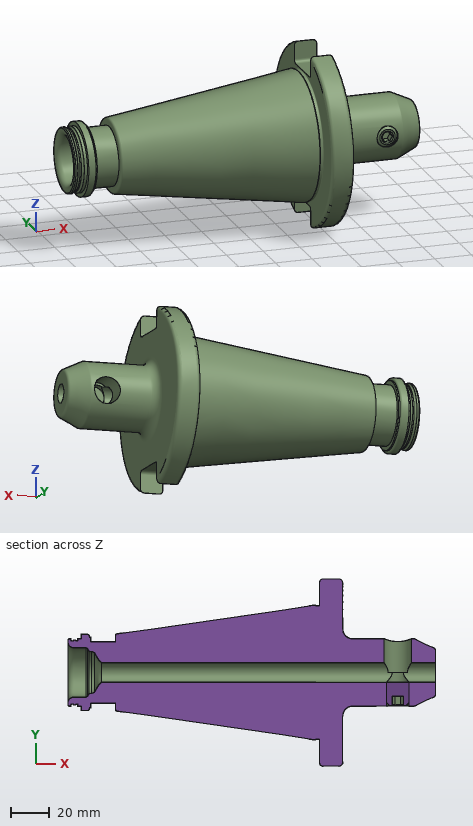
import cadquery as cq
import math

TOTAL_LENGTH = 189.8

SPIGOT_RADIUS = 17.5
SPIGOT_CHAMFER = 0.5
GROOVE_RADIUS = 16.3
GROOVE_LAND_RADIUS = 16.9
FIRST_GROOVE_START = 1.7
FIRST_GROOVE_END = 3.0
SECOND_GROOVE_START = 3.8
SECOND_GROOVE_END = 5.1
COLLAR_START = 6.8
COLLAR_END = 11.2
COLLAR_RADIUS = 19.7
COLLAR_FILLET = 1.1
NECK_RADIUS = 16.0
NECK_SHOULDER_RADIUS = 18.2
NECK_SHOULDER_END = 12.0

TAPER_START = 24.5
TAPER_END = 127.5
TAPER_LARGE_RADIUS = 35.0
TAPER_SLOPE = 7 / 48
TAPER_EDGE_FILLET = 1.3
RELIEF_RADIUS = 34.5
RELIEF_FILLET = 0.4

FLANGE_START = 129.8
FLANGE_END = 142.0
FLANGE_DIAMETER = 97.0
FLANGE_RADIUS = FLANGE_DIAMETER / 2
FLANGE_FRONT_FILLET = 1.9
FLANGE_BACK_FILLET = 2.3
SLOT_WIDTH = 26.2
SLOT_FLOOR_HEIGHT = 35.1
SLOT_FILLET = 1.9

NOSE_RADIUS = 17.5
NOSE_ROOT_FILLET = 5.0
NOSE_CONE_START = 178.8
NOSE_CONE_ANGLE = 25.0
NOSE_CONE_BLEND_RADIUS = 1.9
NOSE_TIP_FILLET = 1.9

MOUTH_RADIUS = 15.8
MOUTH_FILLET = 3.0
PILOT_DEPTH = 9.5
PILOT_STEP_DEPTH = 10.2
PILOT_STEP_RADIUS = 12.1
RECESS_START = 11.0
RECESS_RADIUS = 10.8
RECESS_STRAIGHT_END = 12.1
FLOOR_START = 13.7
FLOOR_RADIUS = 10.2
FLOOR_HALF_ANGLE = 59.0
COUNTERSINK_RADIUS = 6.5
COUNTERSINK_HALF_ANGLE = 45.0
TOOL_BORE_RADIUS = 5.0

SCREW_X = 170.3
SCREW_RADIUS = 5.7
SCREW_HEAD_Y = -17.3
SCREW_CHAMFER = 1.5
SOCKET_ACROSS_FLATS = 5.0
SOCKET_DEPTH = 5.0
SOCKET_COUNTERSINK_RADIUS = 3.2
OPPOSITE_HOLE_RADIUS = 7.0


def revolve_about_x(profile):
    return profile.close().revolve(360, (0, 0), (1, 0))


def make_blank():
    taper_small_radius = TAPER_LARGE_RADIUS - TAPER_SLOPE * (TAPER_END - TAPER_START)
    taper_edge_radius = taper_small_radius + TAPER_SLOPE * TAPER_EDGE_FILLET
    relief_depth = TAPER_LARGE_RADIUS - RELIEF_RADIUS
    cone_angle = math.radians(NOSE_CONE_ANGLE)
    tip_radius = NOSE_RADIUS - math.tan(cone_angle) * (TOTAL_LENGTH - NOSE_CONE_START)
    blend_length = NOSE_CONE_BLEND_RADIUS * math.tan(cone_angle / 2)
    blend_end = (
        NOSE_CONE_START + blend_length * math.cos(cone_angle),
        NOSE_RADIUS - blend_length * math.sin(cone_angle),
    )
    profile = (
        cq.Workplane("XZ")
        .lineTo(0, SPIGOT_RADIUS - SPIGOT_CHAMFER)
        .lineTo(SPIGOT_CHAMFER, SPIGOT_RADIUS)
        .lineTo(COLLAR_START, SPIGOT_RADIUS)
        .lineTo(COLLAR_START, COLLAR_RADIUS)
        .lineTo(COLLAR_END - COLLAR_FILLET, COLLAR_RADIUS)
        .radiusArc((COLLAR_END, COLLAR_RADIUS - COLLAR_FILLET), COLLAR_FILLET)
        .lineTo(COLLAR_END, NECK_SHOULDER_RADIUS)
        .lineTo(NECK_SHOULDER_END, NECK_SHOULDER_RADIUS)
        .lineTo(NECK_SHOULDER_END, NECK_RADIUS)
        .lineTo(TAPER_START, NECK_RADIUS)
        .lineTo(TAPER_START, taper_edge_radius - TAPER_EDGE_FILLET)
        .radiusArc((TAPER_START + TAPER_EDGE_FILLET, taper_edge_radius), TAPER_EDGE_FILLET)
        .lineTo(TAPER_END, TAPER_LARGE_RADIUS)
        .lineTo(TAPER_END + relief_depth, RELIEF_RADIUS)
        .lineTo(FLANGE_START - RELIEF_FILLET, RELIEF_RADIUS)
        .radiusArc((FLANGE_START, RELIEF_RADIUS + RELIEF_FILLET), -RELIEF_FILLET)
        .lineTo(FLANGE_START, FLANGE_RADIUS - FLANGE_FRONT_FILLET)
        .radiusArc((FLANGE_START + FLANGE_FRONT_FILLET, FLANGE_RADIUS), FLANGE_FRONT_FILLET)
        .lineTo(FLANGE_END - FLANGE_BACK_FILLET, FLANGE_RADIUS)
        .radiusArc((FLANGE_END, FLANGE_RADIUS - FLANGE_BACK_FILLET), FLANGE_BACK_FILLET)
        .lineTo(FLANGE_END, NOSE_RADIUS + NOSE_ROOT_FILLET)
        .radiusArc((FLANGE_END + NOSE_ROOT_FILLET, NOSE_RADIUS), -NOSE_ROOT_FILLET)
        .lineTo(NOSE_CONE_START - blend_length, NOSE_RADIUS)
        .radiusArc(blend_end, NOSE_CONE_BLEND_RADIUS)
        .lineTo(TOTAL_LENGTH, tip_radius)
        .lineTo(TOTAL_LENGTH, 0)
    )
    return revolve_about_x(profile).faces(">X").edges().fillet(NOSE_TIP_FILLET)


def make_spigot_grooves():
    """Two round-bottomed grooves with a lower land between them."""
    profile = (
        cq.Workplane("XZ")
        .moveTo(FIRST_GROOVE_START, SPIGOT_RADIUS)
        .threePointArc(
            ((FIRST_GROOVE_START + FIRST_GROOVE_END) / 2, GROOVE_RADIUS),
            (FIRST_GROOVE_END, GROOVE_LAND_RADIUS),
        )
        .lineTo(SECOND_GROOVE_START, GROOVE_LAND_RADIUS)
        .threePointArc(
            ((SECOND_GROOVE_START + SECOND_GROOVE_END) / 2, GROOVE_RADIUS),
            (SECOND_GROOVE_END, SPIGOT_RADIUS),
        )
    )
    return revolve_about_x(profile)


def make_driving_slots():
    """The slots at +Z and -Z, with rounded floor corners."""
    flange_width = FLANGE_END - FLANGE_START
    slot_depth = FLANGE_RADIUS - SLOT_FLOOR_HEIGHT
    slot = (
        cq.Workplane("XY")
        .box(flange_width, SLOT_WIDTH, slot_depth, centered=(False, True, False))
        .edges("|X and <Z")
        .fillet(SLOT_FILLET)
        .translate((FLANGE_START, 0, SLOT_FLOOR_HEIGHT))
    )
    return slot.add(slot.rotate((0, 0, 0), (1, 0, 0), 180))


def make_axial_bore():
    pilot_radius = MOUTH_RADIUS - MOUTH_FILLET
    floor_length = (FLOOR_RADIUS - COUNTERSINK_RADIUS) / math.tan(math.radians(FLOOR_HALF_ANGLE))
    countersink_start = FLOOR_START + floor_length
    countersink_drop = COUNTERSINK_RADIUS - TOOL_BORE_RADIUS
    countersink_length = countersink_drop / math.tan(math.radians(COUNTERSINK_HALF_ANGLE))
    profile = (
        cq.Workplane("XZ")
        .lineTo(0, MOUTH_RADIUS)
        .radiusArc((MOUTH_FILLET, pilot_radius), -MOUTH_FILLET)
        .lineTo(PILOT_DEPTH, pilot_radius)
        .lineTo(PILOT_STEP_DEPTH, PILOT_STEP_RADIUS)
        .lineTo(RECESS_START, RECESS_RADIUS)
        .lineTo(RECESS_STRAIGHT_END, RECESS_RADIUS)
        .lineTo(FLOOR_START, FLOOR_RADIUS)
        .lineTo(countersink_start, COUNTERSINK_RADIUS)
        .lineTo(countersink_start + countersink_length, TOOL_BORE_RADIUS)
        .lineTo(TOTAL_LENGTH, TOOL_BORE_RADIUS)
        .lineTo(TOTAL_LENGTH, 0)
    )
    return revolve_about_x(profile)


def make_radial_cylinder(radius, end_y):
    """A cylinder across the nose, from the X axis to end_y."""
    return cq.Workplane("XZ", origin=(SCREW_X, 0, 0)).circle(radius).extrude(-end_y)


def make_holder():
    return (
        make_blank()
        .cut(make_spigot_grooves())
        .cut(make_driving_slots())
        .cut(make_axial_bore())
        .cut(make_radial_cylinder(SCREW_RADIUS, -NOSE_RADIUS))
        .cut(make_radial_cylinder(OPPOSITE_HOLE_RADIUS, NOSE_RADIUS))
    )


def make_screw():
    """Set screw with a chamfered head and a countersunk hexagon socket, its tip at the tool bore."""
    socket_across_corners = SOCKET_ACROSS_FLATS / math.cos(math.radians(30))
    blank = (
        cq.Workplane("XZ", origin=(SCREW_X, -TOOL_BORE_RADIUS, 0))
        .circle(SCREW_RADIUS)
        .extrude(-SCREW_HEAD_Y - TOOL_BORE_RADIUS)
        .faces("<Y")
        .chamfer(SCREW_CHAMFER)
    )
    socket = (
        cq.Workplane("XZ", origin=(SCREW_X, SCREW_HEAD_Y, 0))
        .polygon(6, socket_across_corners)
        .extrude(-SOCKET_DEPTH)
    )
    countersink = cq.Solid.makeCone(
        SOCKET_COUNTERSINK_RADIUS,
        0,
        SOCKET_COUNTERSINK_RADIUS,
        pnt=cq.Vector(SCREW_X, SCREW_HEAD_Y, 0),
        dir=cq.Vector(0, 1, 0),
    )
    return blank.cut(socket).cut(cq.Workplane(countersink))


holder = make_holder()
screw = make_screw()
result = cq.Compound.makeCompound([holder.val(), screw.val()])